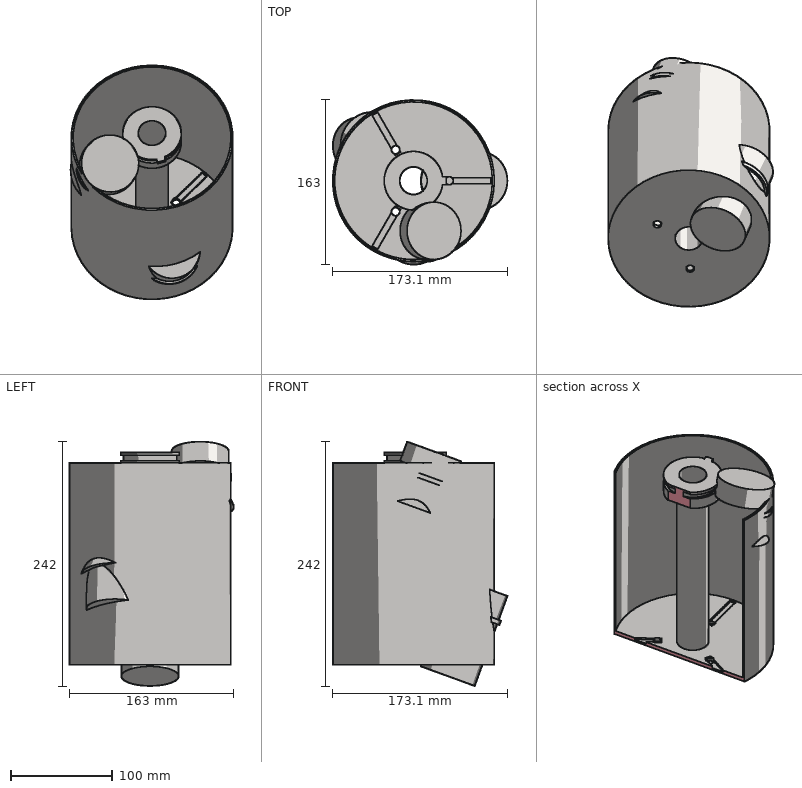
import cadquery as cq
import math

shell_diameter = 160.0
cavity_diameter = 156.0
shell_height = 200.0
floor_thickness = 4.8

bore_diameter = 27.0
stem_diameter = 32.0
hub_diameter = 58.0
hub_neck_diameter = 52.8
hub_top = 210.3
hub_bottom = 190.2
hub_rim_thickness = 3.1
hub_neck_height = 5.0
key_reach = 32.5
key_width = 8.2

spoke_count = 3
groove_inner_radius = 31.0
groove_outer_radius = 76.5
groove_width = 6.3
groove_depth = 2.0
floor_hole_diameter = 8.0
floor_hole_radius = 35.3

pod_diameter = 56.9
pod_length = 94.9
pod_tilt = 20.0
pod_cap_length = 20.3
collar_diameter = 61.7
collar_start = 25.2
collar_thickness = 4.5
flare_diameter = 67.0
flare_start = 46.7
flare_end = 58.5
low_pod_bottom_x = 33.9
middle_pod_bottom_x = -53.2
middle_pod_bottom_z = 55.5
high_pod_top_x = 20.3
high_pod_offset = 49.5
middle_pod_offset = 34.5
overhang = 21.0

tilt = math.radians(pod_tilt)
end_drop = pod_diameter / 2 * math.sin(tilt)
pod_rise = pod_length * math.cos(tilt)
pod_run = pod_length * math.sin(tilt)

low_pod_top = (low_pod_bottom_x + pod_run, 0, end_drop - overhang + pod_rise)
high_pod_top = (high_pod_top_x, -high_pod_offset, shell_height + overhang - end_drop)
middle_pod_top = (middle_pod_bottom_x + pod_run, middle_pod_offset, middle_pod_bottom_z + pod_rise)


def cylinder(diameter, bottom, top):
    return cq.Workplane("XY").workplane(offset=bottom).circle(diameter / 2).extrude(top - bottom)


def place_pod(body, top_center):
    """Tilt a body hanging below the origin and move its top to top_center."""
    return body.rotate((0, 0, 0), (0, 1, 0), pod_tilt).translate(top_center)


def make_pod(top_center):
    """Full pod with a square-edged collar and a flare that widens downward."""
    pod_radius = pod_diameter / 2
    collar_radius = collar_diameter / 2
    collar_end = collar_start + collar_thickness
    profile = [
        (0, 0),
        (pod_radius, 0),
        (pod_radius, -collar_start),
        (collar_radius, -collar_start),
        (collar_radius, -collar_end),
        (pod_radius, -collar_end),
        (pod_radius, -flare_start),
        (flare_diameter / 2, -flare_end),
        (pod_radius, -flare_end),
        (pod_radius, -pod_length),
        (0, -pod_length),
    ]
    body = cq.Workplane("XZ").polyline(profile).close().revolve(360, (0, 0, 0), (0, 1, 0))
    return place_pod(body, top_center)


def make_hub():
    rim_bottom = hub_top - hub_rim_thickness
    neck_bottom = rim_bottom - hub_neck_height
    hub = cylinder(stem_diameter, 0, hub_top)
    hub = hub.union(cylinder(hub_diameter, hub_bottom, neck_bottom))
    hub = hub.union(cylinder(hub_neck_diameter, neck_bottom, rim_bottom))
    hub = hub.union(cylinder(hub_diameter, rim_bottom, hub_top))
    key = cq.Workplane("XY").box(key_reach, key_width, hub_rim_thickness, centered=(False, True, False))
    return hub.union(key.translate((0, 0, rim_bottom)))


def make_floor_cut():
    """One radial groove and its through hole, along +X."""
    groove = cq.Workplane("XY").box(
        groove_outer_radius - groove_inner_radius, groove_width, groove_depth, centered=(False, True, False)
    )
    groove = groove.translate((groove_inner_radius, 0, floor_thickness - groove_depth))
    hole = cylinder(floor_hole_diameter, 0, floor_thickness).translate((floor_hole_radius, 0, 0))
    return groove.union(hole)


cavity = cylinder(cavity_diameter, floor_thickness, shell_height + overhang)
result = cylinder(shell_diameter, 0, shell_height).cut(cavity)
for spoke in range(spoke_count):
    result = result.cut(make_floor_cut().rotate((0, 0, 0), (0, 0, 1), spoke * 360 / spoke_count))
result = result.union(make_hub()).cut(cylinder(bore_diameter, 0, hub_top))

core = cylinder(cavity_diameter, 0, shell_height + overhang)
cap_space = place_pod(cylinder(2 * shell_diameter, -pod_cap_length, pod_length), high_pod_top)
result = result.union(make_pod(low_pod_top).cut(core))
result = result.union(make_pod(middle_pod_top).cut(core))
result = result.union(make_pod(high_pod_top).cut(core.cut(cap_space)))